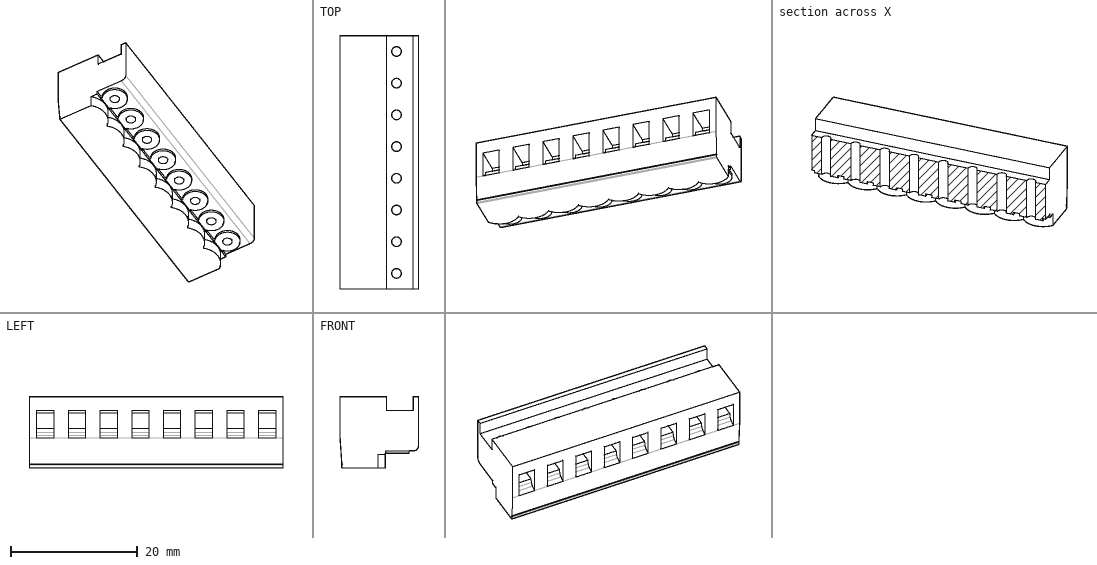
import cadquery as cq
import math

WAY_COUNT = 8
PITCH = 5.0
LENGTH = WAY_COUNT * PITCH
WIDTH = 12.4
HEIGHT = 11.3

SLOT_FRONT = 7.35
SLOT_BACK = 11.55
SLOT_DEPTH = 2.15

OVERHANG_DEPTH = 8.55
OVERHANG_CORNER_RADIUS = 0.8
FOOT_BACK = 7.15

TAPER_TOP_DEPTH = 6.5
TAPER_INSET = 0.3
LIP_TOP_DEPTH = 10.65
LIP_RADIUS = 0.1
GROOVE_FLOOR_HEIGHT = 0.05

SCALLOP_TOP_DEPTH = 9.15
SCALLOP_BULGE = 1.15

HOLE_X = 8.9
HOLE_DIAMETER = 1.5
BOSS_RADIUS = 2.0
BOSS_HEIGHT = 0.4
BOSS_BLEND_RADIUS = 0.15

POCKET_WIDTH = 2.7
POCKET_TOP_DEPTH = 2.15
POCKET_LENGTH = 4.8
CEILING_BEVEL_DROP = 0.4
CEILING_BEVEL_ANGLE = 30.0
RAMP_RISE = 0.35
RAMP_ANGLE = 26.0
BLEND_RISE = 0.5
STEEP_ANGLE = 77.0
LEDGE_RISE = 1.5

way_centres = [(i - (WAY_COUNT - 1) / 2) * PITCH for i in range(WAY_COUNT)]


def make_body():
    """Extrude the end profile over the full length."""
    groove_x = TAPER_INSET + LIP_RADIUS
    lip_arc_top = -LIP_TOP_DEPTH - GROOVE_FLOOR_HEIGHT
    arc_sag = LIP_RADIUS * (1 - math.sqrt(0.5))
    profile = (
        cq.Workplane("XZ")
        .moveTo(0, 0)
        .lineTo(SLOT_FRONT, 0)
        .lineTo(SLOT_FRONT, -SLOT_DEPTH)
        .lineTo(SLOT_BACK, -SLOT_DEPTH)
        .lineTo(SLOT_BACK, 0)
        .lineTo(WIDTH, 0)
        .lineTo(WIDTH, -OVERHANG_DEPTH + OVERHANG_CORNER_RADIUS)
        .radiusArc((WIDTH - OVERHANG_CORNER_RADIUS, -OVERHANG_DEPTH), OVERHANG_CORNER_RADIUS)
        .lineTo(FOOT_BACK, -OVERHANG_DEPTH)
        .lineTo(FOOT_BACK, -HEIGHT)
        .lineTo(groove_x, -HEIGHT)
        .threePointArc(
            (TAPER_INSET + arc_sag, -HEIGHT + arc_sag),
            (TAPER_INSET, -HEIGHT + LIP_RADIUS),
        )
        .lineTo(TAPER_INSET, lip_arc_top - LIP_RADIUS)
        .threePointArc((TAPER_INSET + arc_sag, lip_arc_top - arc_sag), (groove_x, lip_arc_top))
        .lineTo(groove_x, -LIP_TOP_DEPTH)
        .lineTo(TAPER_INSET, -LIP_TOP_DEPTH)
        .lineTo(0, -TAPER_TOP_DEPTH)
        .close()
    )
    return profile.extrude(LENGTH / 2, both=True)


def make_scallop_cutter():
    """Material to remove behind the foot, bounded by one convex arc per way."""
    valley_x = FOOT_BACK - SCALLOP_BULGE
    clear_x = FOOT_BACK + SCALLOP_BULGE
    outline = cq.Workplane("XY").workplane(offset=-HEIGHT).moveTo(valley_x, -LENGTH / 2)
    for y in way_centres:
        outline = outline.threePointArc((FOOT_BACK, y), (valley_x, y + PITCH / 2))
    outline = outline.lineTo(clear_x, LENGTH / 2).lineTo(clear_x, -LENGTH / 2).close()
    return outline.extrude(HEIGHT - SCALLOP_TOP_DEPTH)


def make_boss(y):
    """Round boss under the overhang, blended into the foot by two concave arcs."""
    blend_x = FOOT_BACK + BOSS_BLEND_RADIUS
    centre_gap = BOSS_RADIUS + BOSS_BLEND_RADIUS
    blend_y = math.sqrt(centre_gap**2 - (HOLE_X - blend_x) ** 2)
    tangent_x = HOLE_X - (HOLE_X - blend_x) * BOSS_RADIUS / centre_gap
    base = cq.Workplane("XY").workplane(offset=-OVERHANG_DEPTH - BOSS_HEIGHT)
    disc = base.center(HOLE_X, y).circle(BOSS_RADIUS).extrude(BOSS_HEIGHT)
    in_front = base.center(FOOT_BACK / 2, y).rect(FOOT_BACK, 2 * BOSS_RADIUS).extrude(BOSS_HEIGHT)
    neck_length = tangent_x - FOOT_BACK
    neck = (
        base.center(FOOT_BACK + neck_length / 2, y)
        .rect(neck_length, 2 * blend_y)
        .extrude(BOSS_HEIGHT)
    )
    blends = (
        base.pushPoints([(blend_x, y - blend_y), (blend_x, y + blend_y)])
        .circle(BOSS_BLEND_RADIUS)
        .extrude(BOSS_HEIGHT)
    )
    return disc.cut(in_front).union(neck.cut(blends))


def make_pocket(y):
    """Wire-entry pocket: ramp, tangent blend, steep step and ledge up to the back wall."""
    ramp = math.radians(RAMP_ANGLE)
    steep = math.radians(STEEP_ANGLE)
    middle = (ramp + steep) / 2
    floor_z = -TAPER_TOP_DEPTH
    ramp_x = RAMP_RISE / math.tan(ramp)
    ramp_z = floor_z + RAMP_RISE
    blend_radius = BLEND_RISE / (math.cos(ramp) - math.cos(steep))

    def blend_point(angle):
        return (
            ramp_x + blend_radius * (math.sin(angle) - math.sin(ramp)),
            ramp_z + blend_radius * (math.cos(ramp) - math.cos(angle)),
        )

    step_x, step_z = blend_point(steep)
    ledge_z = floor_z + LEDGE_RISE
    ledge_x = step_x + (ledge_z - step_z) / math.tan(steep)
    bevel_run = CEILING_BEVEL_DROP * math.tan(math.radians(CEILING_BEVEL_ANGLE))
    return (
        cq.Workplane("XZ", origin=(0, y, 0))
        .moveTo(0, floor_z)
        .lineTo(ramp_x, ramp_z)
        .threePointArc(blend_point(middle), (step_x, step_z))
        .lineTo(ledge_x, ledge_z)
        .lineTo(POCKET_LENGTH, ledge_z)
        .lineTo(POCKET_LENGTH, -POCKET_TOP_DEPTH - CEILING_BEVEL_DROP)
        .lineTo(POCKET_LENGTH - bevel_run, -POCKET_TOP_DEPTH)
        .lineTo(0, -POCKET_TOP_DEPTH)
        .close()
        .extrude(POCKET_WIDTH / 2, both=True)
    )


result = make_body().cut(make_scallop_cutter())
for way_y in way_centres:
    result = result.union(make_boss(way_y)).cut(make_pocket(way_y))

screw_holes = (
    cq.Workplane("XY")
    .pushPoints([(HOLE_X, y) for y in way_centres])
    .circle(HOLE_DIAMETER / 2)
    .extrude(-HEIGHT)
)
result = result.cut(screw_holes)